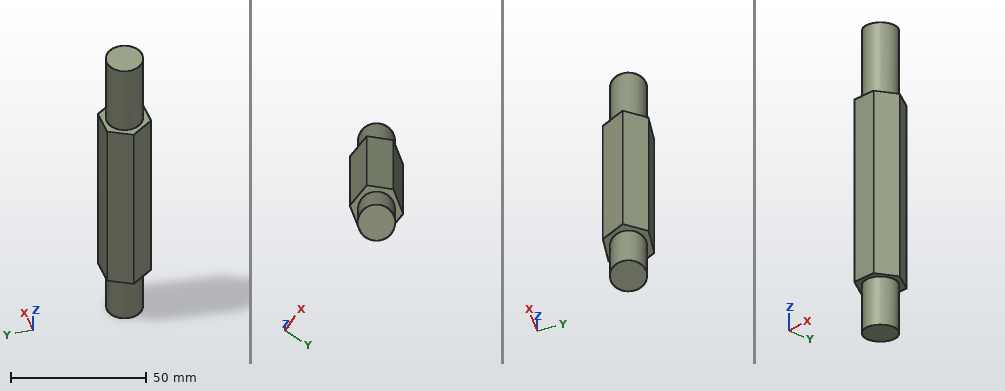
import cadquery as cq

total_length = 126.1
upper_stud_length = 30.0
lower_stud_length = 20.0
stud_diameter = 13.82
hex_corner_diameter = 20.0
hex_turn = 5.0

hex_length = total_length - upper_stud_length - lower_stud_length


def make_stud(start_z, length):
    """Plain round stud along Z, starting at start_z."""
    return cq.Workplane("XY").workplane(offset=start_z).circle(stud_diameter / 2).extrude(length)


def make_hex_body():
    """Hexagonal bar between the two studs, turned about Z."""
    bar = (
        cq.Workplane("XY")
        .workplane(offset=lower_stud_length)
        .polygon(6, hex_corner_diameter)
        .extrude(hex_length)
    )
    return bar.rotate((0, 0, 0), (0, 0, 1), hex_turn)


lower_stud = make_stud(0, lower_stud_length)
upper_stud = make_stud(lower_stud_length + hex_length, upper_stud_length)

result = make_hex_body().union(lower_stud).union(upper_stud)